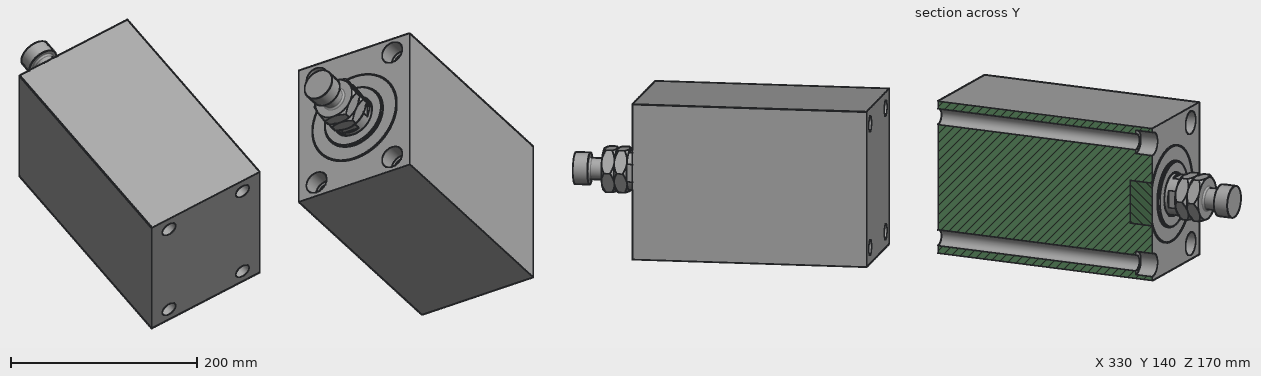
import cadquery as cq

TOTAL_LENGTH = 330.0

HOUSING_WIDTH = 140.0
HOUSING_HEIGHT = 170.0
HOUSING_FRONT_X = 74.5
HOUSING_LENGTH = TOTAL_LENGTH - HOUSING_FRONT_X
TOP_EDGE_CHAMFER = 0.5

BOLT_PITCH_Y = 95.0
BOLT_PITCH_Z = 135.0
BOLT_HOLE_DIAMETER = 17.0
COUNTERBORE_DIAMETER = 25.5
COUNTERBORE_DEPTH = 19.8

GLAND_DIAMETER = 106.3
GLAND_DEPTH = 26.5
GLAND_EDGE_CHAMFER = 1.0
GLAND_BOSS_DIAMETER = 72.5
GLAND_BOSS_HEIGHT = 3.0
GLAND_BOSS_CHAMFER = 1.3
WIPER_RECESS_DIAMETER = 48.2
WIPER_RECESS_DEPTH = 1.5

HEAD_DIAMETER = 35.0
HEAD_LENGTH = 16.2
HEAD_CHAMFER = 0.3
NECK_DIAMETER = 23.5
NECK_FILLET = 2.0
HEX_START_X = 32.0
HEX_ACROSS_FLATS = 46.0
HEX_THICKNESS = 14.0
HEX_COUNT = 2
HEX_CORNER_DIAMETER = HEX_ACROSS_FLATS * 2 / 3**0.5

ROD_DIAMETER = 45.0
ROD_START_X = HEX_START_X + HEX_COUNT * HEX_THICKNESS
ROD_END_X = HOUSING_FRONT_X + GLAND_DEPTH
ROD_ACROSS_FLATS = 40.5
ROD_FLAT_LENGTH = 8.5


def disc(start_x, diameter, length):
    """Cylinder on the X axis, running from start_x toward +X."""
    return cq.Workplane("YZ", origin=(start_x, 0, 0)).circle(diameter / 2).extrude(length)


def make_housing():
    block = (
        cq.Workplane("YZ", origin=(HOUSING_FRONT_X, 0, 0))
        .rect(HOUSING_WIDTH, HOUSING_HEIGHT)
        .extrude(HOUSING_LENGTH)
    )
    block = block.edges("|X and <Y and >Z").chamfer(TOP_EDGE_CHAMFER)
    block = (
        block.faces("<X")
        .workplane(origin=(HOUSING_FRONT_X, 0, 0))
        .rect(BOLT_PITCH_Y, BOLT_PITCH_Z, forConstruction=True)
        .vertices()
        .cboreHole(BOLT_HOLE_DIAMETER, COUNTERBORE_DIAMETER, COUNTERBORE_DEPTH)
    )
    return block.cut(disc(HOUSING_FRONT_X, GLAND_DIAMETER, GLAND_DEPTH))


def make_gland():
    body = disc(HOUSING_FRONT_X, GLAND_DIAMETER, GLAND_DEPTH)
    body = body.faces("<X").edges().chamfer(GLAND_EDGE_CHAMFER)
    boss_face_x = HOUSING_FRONT_X - GLAND_BOSS_HEIGHT
    boss = disc(boss_face_x, GLAND_BOSS_DIAMETER, GLAND_BOSS_HEIGHT)
    boss = boss.faces("<X").edges().chamfer(GLAND_BOSS_CHAMFER)
    rod_bore = disc(boss_face_x, ROD_DIAMETER, ROD_END_X - boss_face_x)
    wiper_recess = disc(boss_face_x, WIPER_RECESS_DIAMETER, WIPER_RECESS_DEPTH)
    return body.union(boss).cut(rod_bore).cut(wiper_recess)


def make_rod():
    rod = disc(ROD_START_X, ROD_DIAMETER, ROD_END_X - ROD_START_X)
    flats_envelope = (
        cq.Workplane("YZ", origin=(ROD_START_X, 0, 0))
        .rect(ROD_ACROSS_FLATS, ROD_ACROSS_FLATS)
        .extrude(ROD_FLAT_LENGTH)
    )
    flats_waste = disc(ROD_START_X, ROD_DIAMETER, ROD_FLAT_LENGTH).cut(flats_envelope)
    return rod.cut(flats_waste)


def make_hex(start_x):
    """Hexagon with flats at top and bottom, its corners turned off at 45 degrees at both ends."""
    corner_chamfer = (HEX_CORNER_DIAMETER - HEX_ACROSS_FLATS) / 2
    prism = (
        cq.Workplane("YZ", origin=(start_x, 0, 0))
        .polygon(6, HEX_CORNER_DIAMETER)
        .extrude(HEX_THICKNESS)
    )
    turned = disc(start_x, HEX_CORNER_DIAMETER, HEX_THICKNESS)
    turned = turned.faces("<X or >X").edges().chamfer(corner_chamfer)
    return prism.intersect(turned)


def make_stud():
    head = disc(0, HEAD_DIAMETER, HEAD_LENGTH).faces("<X or >X").edges().chamfer(HEAD_CHAMFER)
    stud = head.union(disc(HEAD_LENGTH, NECK_DIAMETER, HEX_START_X - HEAD_LENGTH))
    for index in range(HEX_COUNT):
        stud = stud.union(make_hex(HEX_START_X + index * HEX_THICKNESS))
    neck_ends = cq.selectors.RadiusNthSelector(0)
    return stud.edges("%CIRCLE").edges(neck_ends).fillet(NECK_FILLET)


housing = make_housing()
gland = make_gland()
rod = make_rod()
stud = make_stud()

result = cq.Compound.makeCompound([housing.val(), gland.val(), rod.val(), stud.val()])